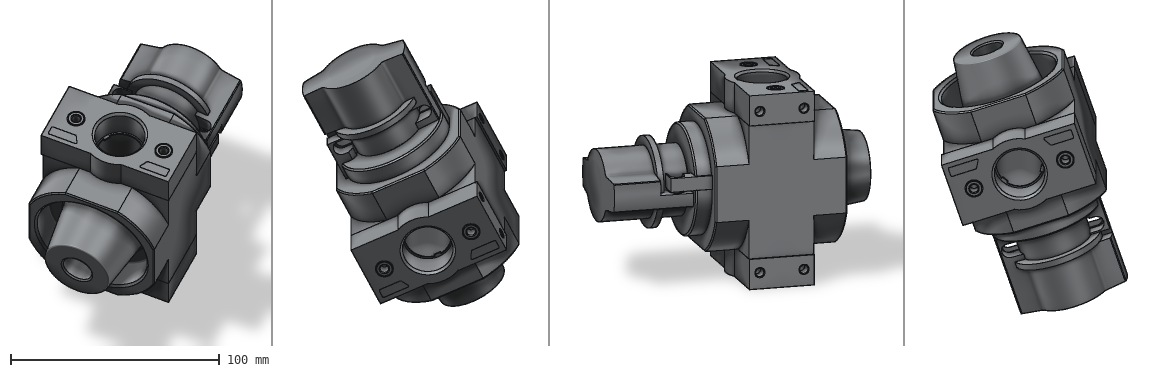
import cadquery as cq
import math


block_half = 33.0
end_corner_radius = 35.8
block_half_depth = 16.2
housing_half_length = 32.9
end_chamfer = 0.7

recess_diameter = 58.0
recess_chamfer = 1.0
recess_floor_fillet = 1.0
recess_floor_y = -17.9
cone_tip_y = -49.5
cone_tip_diameter = 34.0
cone_root_diameter = 42.7
cone_tip_fillet = 0.8
cone_base_diameter = 44.5
cone_base_thickness = 1.3
cone_hole_diameter = 15.0
cone_hole_chamfer = 0.8
cone_hole_depth = 19.9

flange_top_z = 48.0
flange_overhang = 1.0
flange_boss_diameter = 36.2
port_diameter = 24.1
port_chamfer = 1.2
port_lip_diameter = 22.5
port_lip_thickness = 0.8
port_lug_width = 3.3
port_lug_height = 0.9
port_lug_angles = (30, 150, 270)

pilot_diameter = 4.1
pilot_mouth_diameter = 5.0
pilot_depth = 6.0
drill_point_angle = 118
side_hole_spacing = 22.0
side_hole_z = 39.9

insert_diameter = 8.5
insert_chamfer = 0.5
insert_length = 10.6
insert_x = 23.1

label_inner_x = 16.2
label_outer_x_plus = 30.5
label_outer_x_minus = 31.5
label_slant = 2.7
label_y_min = -13.8
label_y_max = -9.1
label_corner_radius = 0.7
label_depth = 0.1

collar_diameter = 54.9
collar_end_y = 41.0
collar_chamfer = 0.8
tab_end_y = 53.4
tab_inner_x = 17.8
tab_outer_x = 27.6
tab_z_min = 1.3
tab_z_max = 8.1
tab_bevel = 2.4

slot_y = 49.0
tab_slot_width = 7.3
tab_slot_end_x = 26.0
wing_slot_width = 7.0
wing_slot_end_x = 25.3

knob_end_y = 83.1
knob_front_y = 42.0
knob_end_flat_diameter = 24.4
knob_end_rim_diameter = 54.9
knob_end_drop = 1.6
hub_diameter = 35.3
wing_tip_x = 27.2
wing_face_edge_x = 26.5
wing_face_edge_z = 6.6
wing_side_end_x = 26.0
wing_side_end_z = 7.0
wing_root_x = 14.6
wing_root_z = 8.5
wing_root_fillet = 3.2
disc_diameter = 44.5
disc_y_min = 55.3
disc_y_max = 58.3
stem_diameter = 30.0
stem_end_y = 26.5


def y_cylinder(diameter, y_start, y_end):
    """Cylinder on the valve axis."""
    return (
        cq.Workplane("XZ", origin=(0, y_start, 0))
        .circle(diameter / 2)
        .extrude(y_start - y_end)
    )


def box_between(x_range, y_range, z_range):
    """Box spanning the given ranges along X, Y and Z."""
    size = [high - low for low, high in (x_range, y_range, z_range)]
    middle = [(high + low) / 2 for low, high in (x_range, y_range, z_range)]
    return cq.Workplane("XY").box(*size).translate(tuple(middle))


def half_turn(body):
    """The same body turned by 180 degrees about the valve axis."""
    return body.rotate((0, 0, 0), (0, 1, 0), 180)


def mirrored_below(body):
    """The same body on the bottom side of the valve."""
    return body.mirror("XY")


def drilled_hole():
    """Drill shape with a chamfered mouth at the origin, going down along -Z."""
    radius = pilot_diameter / 2
    mouth_radius = pilot_mouth_diameter / 2
    point_length = radius / math.tan(math.radians(drill_point_angle / 2))
    return (
        cq.Workplane("XZ")
        .moveTo(0, 0)
        .lineTo(mouth_radius, 0)
        .lineTo(radius, radius - mouth_radius)
        .lineTo(radius, -pilot_depth)
        .lineTo(0, -pilot_depth - point_length)
        .close()
        .revolve(360, (0, 0, 0), (0, 1, 0))
    )


def padlock_slot(width, end_x):
    """Vertical slot across the valve axis with rounded ends at -end_x and +end_x."""
    return (
        cq.Workplane("XY", origin=(0, slot_y, 0))
        .slot2D(2 * end_x, width)
        .extrude(block_half, both=True)
    )


def lock_tab():
    """Flat tab on the -X side that stands out of the housing's rear face."""
    tab = box_between(
        (-tab_outer_x, -tab_inner_x), (housing_half_length, tab_end_y), (tab_z_min, tab_z_max)
    )
    bevel_end_y = slot_y - tab_slot_width / 2
    bevel = (
        cq.Workplane("XZ", origin=(-tab_inner_x, bevel_end_y, tab_z_max))
        .polyline([(0, 0), (-tab_bevel, 0), (0, -tab_bevel)])
        .close()
        .extrude(bevel_end_y - collar_end_y)
    )
    return tab.cut(padlock_slot(tab_slot_width, tab_slot_end_x)).cut(bevel)


def lip_bore():
    """Bore through the lip at a flange's inner face, with three lugs left standing on its wall."""
    bore = cq.Workplane("XY").circle(port_lip_diameter / 2).extrude(port_lip_thickness)
    lug_inner_radius = port_lip_diameter / 2 - port_lug_height
    for angle in port_lug_angles:
        lug = box_between(
            (lug_inner_radius, port_lip_diameter),
            (-port_lug_width / 2, port_lug_width / 2),
            (0, port_lip_thickness),
        )
        bore = bore.cut(lug.rotate((0, 0, 0), (0, 0, 1), angle))
    return bore.translate((0, 0, block_half))


def make_housing():
    square = 2 * block_half
    ends = cq.Workplane("XY").box(square, 2 * housing_half_length, square)
    rounding = y_cylinder(2 * end_corner_radius, -housing_half_length, housing_half_length)
    ends = ends.intersect(rounding).faces("<Y or >Y").chamfer(end_chamfer)
    block = cq.Workplane("XY").box(square, 2 * block_half_depth, square)
    collar = y_cylinder(collar_diameter, 0, collar_end_y).faces(">Y").chamfer(collar_chamfer)
    tab = lock_tab()
    housing = ends.union(block).union(collar).union(tab).union(half_turn(tab))

    recess = y_cylinder(recess_diameter, -housing_half_length, recess_floor_y)
    recess = recess.faces(">Y").edges().fillet(recess_floor_fillet)
    recess_mouth = (
        cq.Workplane("XZ", origin=(0, -housing_half_length, 0))
        .circle(recess_diameter / 2 + recess_chamfer)
        .workplane(offset=-recess_chamfer)
        .circle(recess_diameter / 2)
        .loft()
    )
    cone_seat = y_cylinder(cone_base_diameter, recess_floor_y, recess_floor_y + cone_base_thickness)
    stem_hole = y_cylinder(stem_diameter, stem_end_y, collar_end_y)
    port_bore = cq.Workplane("XY").circle(port_diameter / 2).extrude(block_half, both=True)
    return housing.cut(recess).cut(recess_mouth).cut(cone_seat).cut(stem_hole).cut(port_bore)


def make_cone():
    root_radius = cone_root_diameter / 2
    tip_radius = cone_tip_diameter / 2
    base_radius = cone_base_diameter / 2
    seat_y = recess_floor_y + cone_base_thickness
    cone = (
        cq.Workplane("XY")
        .moveTo(0, cone_tip_y)
        .lineTo(tip_radius, cone_tip_y)
        .lineTo(root_radius, recess_floor_y)
        .lineTo(base_radius, recess_floor_y)
        .lineTo(base_radius, seat_y)
        .lineTo(0, seat_y)
        .close()
        .revolve(360, (0, 0, 0), (0, 1, 0))
    )
    cone = cone.faces("<Y").edges().fillet(cone_tip_fillet)
    hole = y_cylinder(cone_hole_diameter, cone_tip_y, cone_tip_y + cone_hole_depth)
    hole_edge = cq.selectors.RadiusNthSelector(0)
    return cone.cut(hole).faces("<Y").edges(hole_edge).chamfer(cone_hole_chamfer)


def label_recess(outer_x):
    """Shallow label recess with one slanted end, on the +X side of the top flange."""
    return (
        cq.Workplane("XY", origin=(0, 0, flange_top_z - label_depth))
        .polyline([
            (label_inner_x, label_y_min),
            (outer_x, label_y_min),
            (outer_x, label_y_max),
            (label_inner_x + label_slant, label_y_max),
        ])
        .close()
        .extrude(label_depth)
        .edges("|Z")
        .fillet(label_corner_radius)
    )


def make_top_flange():
    plate = box_between(
        (-block_half - flange_overhang, block_half),
        (-block_half_depth, block_half_depth),
        (block_half, flange_top_z),
    )
    plane = cq.Workplane("XY", origin=(0, 0, block_half))
    thickness = flange_top_z - block_half
    boss = plane.circle(flange_boss_diameter / 2).extrude(thickness)
    bore = plane.workplane(offset=port_lip_thickness).circle(port_diameter / 2).extrude(thickness)
    flange = plate.union(boss).cut(bore).cut(lip_bore())
    flange = flange.faces(">Z").edges("%CIRCLE").edges(cq.selectors.RadiusNthSelector(0))
    flange = flange.chamfer(port_chamfer)

    flange = flange.cut(label_recess(label_outer_x_plus))
    flange = flange.cut(label_recess(label_outer_x_minus).mirror("YZ"))
    side_hole = drilled_hole().rotate((0, 0, 0), (0, 1, 0), -90)
    for side in (-1, 1):
        seat = cq.Workplane("XY", origin=(side * insert_x, 0, flange_top_z))
        flange = flange.cut(seat.circle(insert_diameter / 2).extrude(-insert_length))
        hole_place = (-block_half - flange_overhang, side * side_hole_spacing / 2, side_hole_z)
        flange = flange.cut(side_hole.translate(hole_place))
    return flange


def make_insert(side):
    """Threaded insert of the top flange on the given X side."""
    insert = (
        cq.Workplane("XY")
        .circle(insert_diameter / 2)
        .extrude(-insert_length)
        .faces(">Z")
        .chamfer(insert_chamfer)
        .cut(drilled_hole())
    )
    return insert.translate((side * insert_x, 0, flange_top_z))


def wings(y_start, y_end):
    """Both wings as one bar: sides tapering outward, bevels, and gently curved outer faces."""
    return (
        cq.Workplane("XZ", origin=(0, y_start, 0))
        .moveTo(-wing_root_x, wing_root_z)
        .lineTo(wing_root_x, wing_root_z)
        .lineTo(wing_side_end_x, wing_side_end_z)
        .lineTo(wing_face_edge_x, wing_face_edge_z)
        .threePointArc((wing_tip_x, 0), (wing_face_edge_x, -wing_face_edge_z))
        .lineTo(wing_side_end_x, -wing_side_end_z)
        .lineTo(wing_root_x, -wing_root_z)
        .lineTo(-wing_root_x, -wing_root_z)
        .lineTo(-wing_side_end_x, -wing_side_end_z)
        .lineTo(-wing_face_edge_x, -wing_face_edge_z)
        .threePointArc((-wing_tip_x, 0), (-wing_face_edge_x, wing_face_edge_z))
        .lineTo(-wing_side_end_x, wing_side_end_z)
        .close()
        .extrude(y_start - y_end)
    )


def grip():
    """Rear grip: round hub with two wings, blended at the roots, with a shallow conical end."""
    hub = y_cylinder(hub_diameter, disc_y_max, knob_end_y)
    body = hub.union(wings(disc_y_max, knob_end_y))
    roots = cq.selectors.BoxSelector(
        (-hub_diameter / 2, disc_y_max, -hub_diameter / 2),
        (hub_diameter / 2, knob_end_y, hub_diameter / 2),
    )
    body = body.edges("|Y").edges(roots).fillet(wing_root_fillet)

    end_shape = (
        cq.Workplane("XY")
        .moveTo(0, disc_y_max)
        .lineTo(knob_end_rim_diameter / 2, disc_y_max)
        .lineTo(knob_end_rim_diameter / 2, knob_end_y - knob_end_drop)
        .lineTo(knob_end_flat_diameter / 2, knob_end_y)
        .lineTo(0, knob_end_y)
        .close()
        .revolve(360, (0, 0, 0), (0, 1, 0))
    )
    return body.intersect(end_shape)


def half_wing():
    """Lower half of the -X wing, continuing the grip forward beside the lock tab."""
    lower_left = box_between((-wing_tip_x, 0), (knob_front_y, disc_y_max), (-wing_root_z, 0))
    wing = wings(knob_front_y, disc_y_max).intersect(lower_left)
    return wing.cut(padlock_slot(wing_slot_width, wing_slot_end_x))


def make_knob():
    hub = y_cylinder(hub_diameter, knob_front_y, disc_y_max)
    disc = y_cylinder(disc_diameter, disc_y_min, disc_y_max)
    stem = y_cylinder(stem_diameter, stem_end_y, knob_front_y)
    wing = half_wing()
    return grip().union(wing).union(half_turn(wing)).union(hub).union(disc).union(stem)


housing = make_housing()
cone = make_cone()
knob = make_knob()
top_flange = make_top_flange()
bottom_flange = mirrored_below(top_flange)

inserts = cq.Workplane("XY")
for side in (-1, 1):
    insert = make_insert(side)
    inserts = inserts.add(insert).add(mirrored_below(insert))

result = cq.Compound.makeCompound([
    housing.val(),
    cone.val(),
    knob.val(),
    top_flange.val(),
    bottom_flange.val(),
    *inserts.vals(),
])